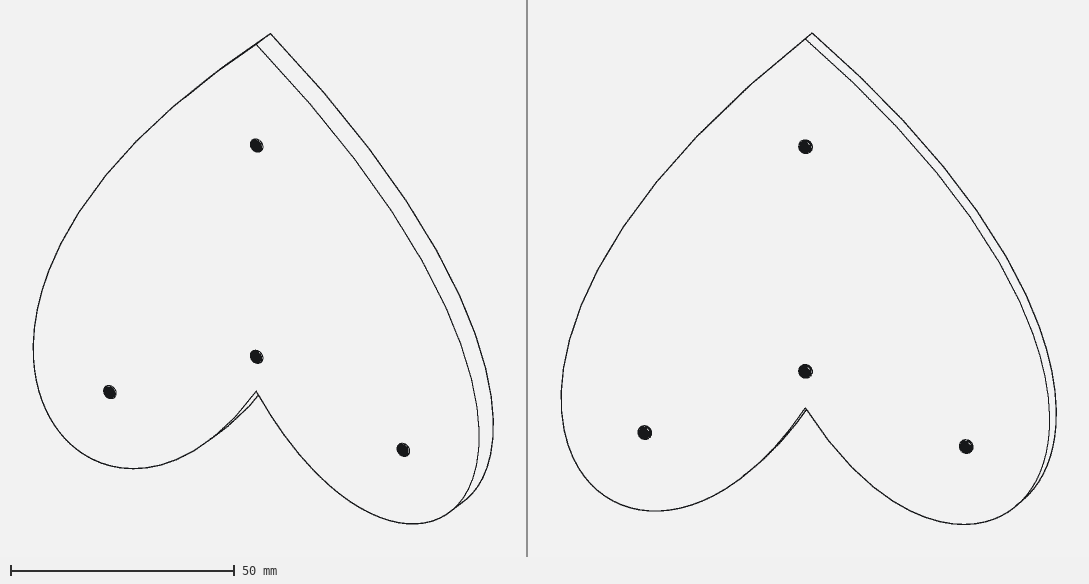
import cadquery as cq

TIP_Z = 109.0
NOTCH_Z = 25.0
THICKNESS = 7.0

SIDE_CONTROL = (102.5, 24.6)
LOBE_CONTROL = (40.3, -36.5)

THREAD_MAJOR_DIAMETER = 3.1
THREAD_MINOR_DIAMETER = 2.6
THREAD_TURNS = 14
THREAD_PITCH = THICKNESS / THREAD_TURNS

TOP_HOLE_Z = 84.5
CENTER_HOLE_Z = 33.3
LOBE_HOLE_X = 36.8
LOBE_HOLE_Z = 17.8
HOLE_POSITIONS = [
    (0, TOP_HOLE_Z),
    (0, CENTER_HOLE_Z),
    (-LOBE_HOLE_X, LOBE_HOLE_Z),
    (LOBE_HOLE_X, LOBE_HOLE_Z),
]


def heart_plate():
    """Extrude the symmetric heart outline from the front face at Y = 0."""
    right_side = [(0, TIP_Z), SIDE_CONTROL, LOBE_CONTROL, (0, NOTCH_Z)]
    left_side = [(-x, z) for x, z in reversed(right_side)]
    return (
        cq.Workplane("XZ")
        .moveTo(0, TIP_Z)
        .bezier(right_side)
        .bezier(left_side)
        .close()
        .extrude(-THICKNESS)
    )


def threaded_hole_cutter():
    """Revolve a zigzag thread profile about the Y axis, from front to back face."""
    minor_radius = THREAD_MINOR_DIAMETER / 2
    major_radius = THREAD_MAJOR_DIAMETER / 2
    profile = [(0, 0), (minor_radius, 0)]
    for turn in range(THREAD_TURNS):
        start = turn * THREAD_PITCH
        profile.append((major_radius, start + THREAD_PITCH / 2))
        profile.append((minor_radius, start + THREAD_PITCH))
    profile.append((0, THICKNESS))
    return (
        cq.Workplane("XY")
        .polyline(profile)
        .close()
        .revolve(360, (0, 0, 0), (0, 1, 0))
    )


result = heart_plate()
hole_cutter = threaded_hole_cutter()
for hole_x, hole_z in HOLE_POSITIONS:
    result = result.cut(hole_cutter.translate((hole_x, 0, hole_z)))